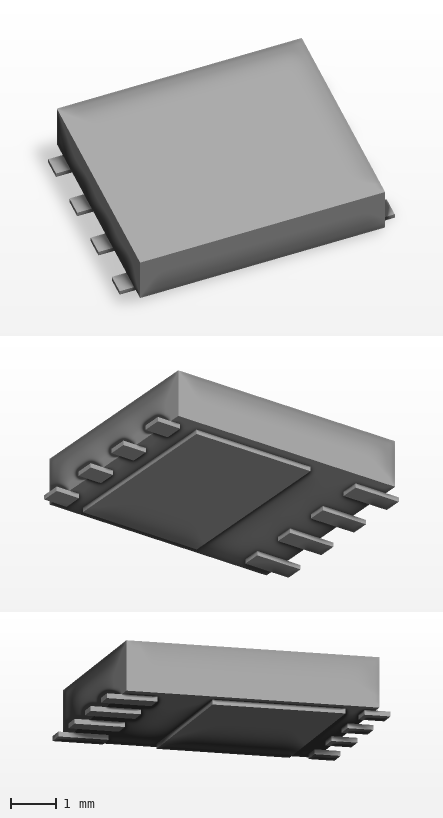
import cadquery as cq

housing_width = 5.0
housing_length = 5.8
overall_length = 6.49
overall_height = 1.25

metal_thickness = 0.11
housing_height = overall_height - metal_thickness

lead_pitch = 1.27
lead_width = 0.47
front_lead_length = 1.155
back_lead_length = 0.6
back_outer_lead_width = 0.485
back_lead_span = 4.41

pad_width = back_lead_span
pad_length = 3.05
pad_center_y = 0.69

inner_lead_x = lead_pitch / 2
front_outer_lead_x = inner_lead_x + lead_pitch
back_outer_lead_x = (back_lead_span - back_outer_lead_width) / 2
front_lead_y = -(overall_length - front_lead_length) / 2
back_lead_y = (overall_length - back_lead_length) / 2


def make_plate(width, length, center_x, center_y):
    """Flat metal plate resting on Z = 0."""
    plate = cq.Workplane("XY").box(width, length, metal_thickness, centered=(True, True, False))
    return plate.translate((center_x, center_y, 0))


def make_housing():
    """Plain block sitting on top of the metal."""
    block = cq.Workplane("XY").box(
        housing_width, housing_length, housing_height, centered=(True, True, False)
    )
    return block.translate((0, 0, metal_thickness))


def make_lead_row(outer_x, outer_width, length, center_y):
    """Four separate leads, mirrored about X = 0."""
    leads = []
    for side in (-1, 1):
        leads.append(make_plate(outer_width, length, side * outer_x, center_y).val())
        leads.append(make_plate(lead_width, length, side * inner_lead_x, center_y).val())
    return leads


housing = make_housing()
thermal_pad = make_plate(pad_width, pad_length, 0, pad_center_y)
front_leads = make_lead_row(front_outer_lead_x, lead_width, front_lead_length, front_lead_y)
back_leads = make_lead_row(back_outer_lead_x, back_outer_lead_width, back_lead_length, back_lead_y)

result = cq.Compound.makeCompound([housing.val(), thermal_pad.val(), *front_leads, *back_leads])